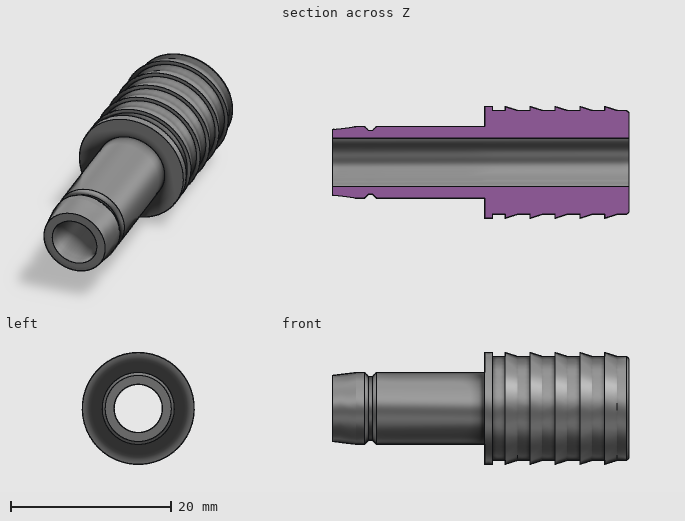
import cadquery as cq


length = 37.0
collar_diameter = 14.0
bore_diameter = 6.0

tip_diameter = 8.25
plug_diameter = 9.0
tip_taper_length = 3.0
groove_start = 4.0
groove_floor_diameter = 8.0

collar_start = 18.98
collar_thickness = 1.0

hose_diameter = 13.0
barb_count = 5
barb_pitch = 3.1
barb_length = barb_pitch / 2
end_chamfer = 0.3

tip_radius = tip_diameter / 2
plug_radius = plug_diameter / 2
collar_radius = collar_diameter / 2
barb_radius = collar_radius
hose_radius = hose_diameter / 2
groove_floor_radius = groove_floor_diameter / 2
groove_flank_length = plug_radius - groove_floor_radius
groove_floor_width = groove_flank_length
collar_end = collar_start + collar_thickness


def plug_points():
    """Tapered tip, retaining groove and plain shank, as (x, radius)."""
    floor_start = groove_start + groove_flank_length
    floor_end = floor_start + groove_floor_width
    return [
        (0, tip_radius),
        (tip_taper_length, plug_radius),
        (groove_start, plug_radius),
        (floor_start, groove_floor_radius),
        (floor_end, groove_floor_radius),
        (floor_end + groove_flank_length, plug_radius),
        (collar_start, plug_radius),
    ]


def collar_points():
    """Square stop collar, as (x, radius)."""
    return [
        (collar_start, collar_radius),
        (collar_end, collar_radius),
        (collar_end, hose_radius),
    ]


def hose_points():
    """Row of barbs tapering toward the hose end, then the chamfered end, as (x, radius)."""
    points = []
    for index in range(barb_count):
        barb_end = collar_end + (index + 1) * barb_pitch
        barb_start = barb_end - barb_length
        points += [
            (barb_start, hose_radius),
            (barb_start, barb_radius),
            (barb_end, hose_radius),
        ]
    points += [
        (length - end_chamfer, hose_radius),
        (length, hose_radius - end_chamfer),
    ]
    return points


outer_outline = plug_points() + collar_points() + hose_points()
body = (
    cq.Workplane("XZ")
    .moveTo(0, 0)
    .polyline(outer_outline, includeCurrent=True)
    .lineTo(length, 0)
    .close()
    .revolve(360, (0, 0, 0), (1, 0, 0))
)

bore = cq.Workplane("YZ").circle(bore_diameter / 2).extrude(length)

result = body.cut(bore)